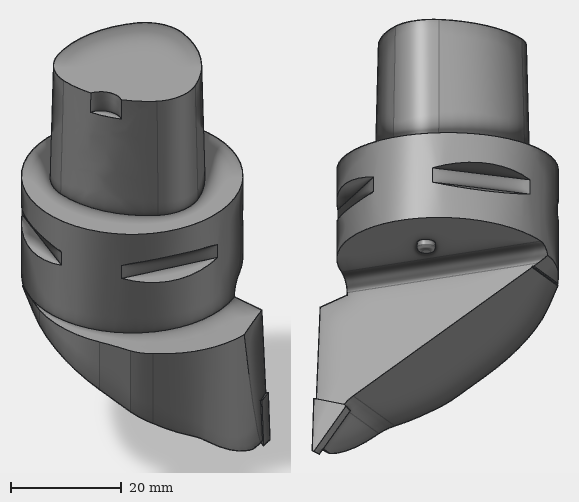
import cadquery as cq
import math

overall_length = 74.0
overall_width = 47.0
overall_depth = 42.5
shank_height = 24.0
flange_diameter = 40.0
flange_height = 21.0

flange_radius = flange_diameter / 2
tip_z = shank_height - overall_length
tip_x = overall_width - flange_radius
blade_back_y = flange_radius - overall_depth

lobe_radius = 14.9
flat_radius = 13.1
joint_radius = 14.35
lobe_half_angle = 18.4
lobe_spacing = 120
lobe_angles = (90, 90 + lobe_spacing, 90 + 2 * lobe_spacing)
shank_taper = 1 / 40

notch_radius = 3.85
notch_center_y = -14.7
notch_depth = 4.1

groove_angles = (45, 135, 225, 315)
groove_floor_distance = 17.7
groove_z = -8.1
groove_floor_width = 2.75
groove_mouth_width = 5.3

step_outer_z = -16.1
step_inner_z = -17.75
step_fillet = 3.0

nozzle_diameter = 3.3
nozzle_y = 9.2
nozzle_bottom_z = -18.65
nozzle_fillet = 0.8

blade_left_x = -16.8
blade_flank_gap = 0.4
shoulder_slope = math.tan(math.radians(16))
underside_start_z = -19.45
knee_x = 20.05
knee_z = -41.2
knee_fillet = 7.4
blade_end_x = 26.1
blade_end_z = -48.6
flank_top_x = 25.4
flank_top_z = -22.65
flank_slope = math.tan(math.radians(2.5))

insert_thickness = 2.5
insert_relief_angle = 5.0

clearance = 3.7


def polar(radius, angle):
    return (radius * math.cos(math.radians(angle)), radius * math.sin(math.radians(angle)))


def lobed_wire(inset, z):
    """Closed outline of six arcs: a tight lobe, then a shallow flank, three times."""
    edges = []
    for angle in lobe_angles:
        start = polar(joint_radius - inset, angle - lobe_half_angle)
        lobe = polar(lobe_radius - inset, angle)
        middle = polar(joint_radius - inset, angle + lobe_half_angle)
        flank = polar(flat_radius - inset, angle + lobe_spacing / 2)
        end = polar(joint_radius - inset, angle + lobe_spacing - lobe_half_angle)
        for arc in ((start, lobe, middle), (middle, flank, end)):
            edges.append(cq.Edge.makeThreePointArc(*[cq.Vector(x, y, z) for x, y in arc]))
    return cq.Wire.assembleEdges(edges)


def make_shank():
    base = lobed_wire(0, 0)
    top = lobed_wire(shank_height * shank_taper, shank_height)
    shank = cq.Workplane(cq.Solid.makeLoft([base, top], True))
    notch = (
        cq.Workplane("XY", origin=(0, notch_center_y, shank_height - notch_depth))
        .circle(notch_radius)
        .extrude(notch_depth + clearance)
    )
    return shank.cut(notch)


def make_groove(angle):
    """Straight trapezoidal groove across the flange wall, wider at its mouth."""
    depth = flange_radius - groove_floor_distance
    flank_growth = (groove_mouth_width - groove_floor_width) / 2 / depth
    outer = flange_radius + clearance
    outer_half = groove_floor_width / 2 + flank_growth * (outer - groove_floor_distance)
    floor_half = groove_floor_width / 2
    return (
        cq.Workplane("XZ")
        .polyline([
            (groove_floor_distance, groove_z - floor_half),
            (outer, groove_z - outer_half),
            (outer, groove_z + outer_half),
            (groove_floor_distance, groove_z + floor_half),
        ])
        .close()
        .extrude(flange_radius, both=True)
        .rotate((0, 0, 0), (0, 0, 1), angle)
    )


def make_side_envelope():
    """Region above the sloping underside and inside the leaning flank, extruded along Y."""
    slope = (knee_z - underside_start_z) / (knee_x + flange_radius)
    left = -flange_radius - clearance
    flank_bottom_x = flank_top_x + flank_slope * (flank_top_z - blade_end_z)
    flank_high_x = flank_top_x + flank_slope * flank_top_z
    envelope = (
        cq.Workplane("XZ")
        .polyline([
            (left, 0),
            (left, underside_start_z - slope * clearance),
            (knee_x, knee_z),
            (blade_end_x, blade_end_z),
            (flank_bottom_x, blade_end_z),
            (flank_high_x, 0),
        ])
        .close()
        .extrude(overall_depth, both=True)
    )
    knee_edge = cq.selectors.NearestToPointSelector((knee_x, 0, knee_z))
    return envelope.edges("|Y").edges(knee_edge).fillet(knee_fillet)


def make_step():
    """Space cleared below the +Y half of the flange, with a rounded inner corner."""
    slope = (step_outer_z - step_inner_z) / flange_radius
    outer_y = flange_radius + clearance
    step = (
        cq.Workplane("YZ")
        .polyline([
            (0, step_inner_z),
            (outer_y, step_inner_z + slope * outer_y),
            (outer_y, tip_z),
            (0, tip_z),
        ])
        .close()
        .extrude(overall_width, both=True)
    )
    corner = cq.selectors.NearestToPointSelector((0, 0, step_inner_z))
    return step.edges("|X").edges(corner).fillet(step_fillet)


def make_flange():
    flange = cq.Workplane("XY").circle(flange_radius).extrude(-flange_height)
    for angle in groove_angles:
        flange = flange.cut(make_groove(angle))
    return flange


def make_blade_plan():
    return (
        cq.Workplane("XY")
        .moveTo(blade_left_x, 0)
        .lineTo(blade_left_x, -11.1)
        .lineTo(-13.2, -15.2)
        .lineTo(-10.9, -17.5)
        .threePointArc((-4.3, -21.25), (2.95, blade_back_y))
        .lineTo(8.95, blade_back_y)
        .threePointArc((11.0, -22.1), (12.95, -21.4))
        .threePointArc((21.5, -15.2), (tip_x - blade_flank_gap, 0))
        .close()
        .extrude(tip_z)
    )


def make_shoulder():
    """Solid of revolution whose top is the conical shoulder around the flange."""
    outer = flange_radius + overall_depth
    outer_z = -flange_height - shoulder_slope * overall_depth
    return (
        cq.Workplane("XZ")
        .polyline([
            (0, -flange_height),
            (flange_radius, -flange_height),
            (outer, outer_z),
            (outer, 2 * tip_z),
            (0, 2 * tip_z),
        ])
        .close()
        .revolve(360, (0, 0, 0), (0, 1, 0))
    )


def make_nozzle():
    top_z = step_outer_z + clearance
    return (
        cq.Workplane("XY", origin=(0, nozzle_y, nozzle_bottom_z))
        .circle(nozzle_diameter / 2)
        .extrude(top_z - nozzle_bottom_z)
        .faces("<Z")
        .fillet(nozzle_fillet)
    )


def make_insert():
    """Pointed cutting plate whose edges are relieved below its cutting face at y = 0."""
    return (
        cq.Workplane("XZ")
        .polyline([
            (20.2, -42.25),
            (26.65, tip_z),
            (tip_x, -49.8),
            (26.65, -39.8),
            (20.6, -41.9),
        ])
        .close()
        .extrude(insert_thickness, taper=insert_relief_angle)
    )


def make_holder(insert):
    lower = make_flange().union(make_blade_plan().intersect(make_shoulder()))
    lower = lower.intersect(make_side_envelope()).cut(make_step())
    return lower.union(make_shank()).union(make_nozzle()).cut(insert)


insert = make_insert()
holder = make_holder(insert)
result = cq.Compound.makeCompound([holder.val(), insert.val()])